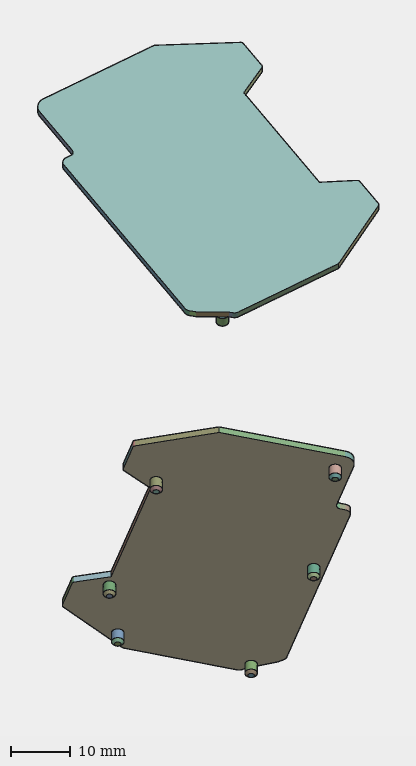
import cadquery as cq
import math

length = 57.1
width = 39.6
plate_thickness = 1.25
total_height = 3.7

flank_slope = math.tan(math.radians(60))
shoulder_y = 26.9
notch_floor_y = 33.85
notch_flank_run = 0.55
notch_half_width = 11.7
horn_radius = 0.5

step_x = 12.95
step_y = 2.9
left_corner_radius = 2.05
step_inner_radius = 0.85
step_outer_radius = 1.15
bevel_start_x = 52.15
lower_bevel = 1.15
bevel_end_y = 6.55
upper_bevel = 0.8
bevel_radius = 1.25

pin_diameter = 2.1
pin_tip_chamfer = 0.5
upper_pin_offset = 13.8
upper_pin_y = 33.5
middle_x = length / 2
pin_centers = [
    (3.3, 5.75),
    (middle_x, 2.1),
    (55.1, 5.2),
    (53.7, 28.8),
    (middle_x - upper_pin_offset, upper_pin_y),
    (middle_x + upper_pin_offset, upper_pin_y),
]

horn_outer_x = (width - shoulder_y) / flank_slope
notch_left_x = middle_x - notch_half_width
notch_right_x = middle_x + notch_half_width
horn_inner_x = notch_left_x - (width - notch_floor_y) * notch_flank_run


def round_corner(body, x, y, radius):
    """Round the vertical plate edge that stands at (x, y)."""
    edge = cq.selectors.NearestToPointSelector((x, y, -plate_thickness / 2))
    return body.edges("|Z").edges(edge).fillet(radius)


def make_plate():
    """Plate with its top face at Z = 0 and its lower left limit at the origin."""
    outline = [
        (0, step_y),
        (step_x, step_y),
        (step_x, 0),
        (bevel_start_x, 0),
        (bevel_start_x + lower_bevel, lower_bevel),
        (length - upper_bevel, bevel_end_y - upper_bevel),
        (length, bevel_end_y),
        (length, shoulder_y),
        (length - horn_outer_x, width),
        (length - horn_inner_x, width),
        (notch_right_x, notch_floor_y),
        (notch_left_x, notch_floor_y),
        (horn_inner_x, width),
        (horn_outer_x, width),
        (0, shoulder_y),
    ]
    plate = cq.Workplane("XY").polyline(outline).close().extrude(-plate_thickness)
    plate = round_corner(plate, 0, step_y, left_corner_radius)
    plate = round_corner(plate, step_x, step_y, step_inner_radius)
    plate = round_corner(plate, step_x, 0, step_outer_radius)
    plate = round_corner(plate, bevel_start_x, 0, bevel_radius)
    plate = round_corner(plate, length, bevel_end_y, bevel_radius)
    for x in (horn_outer_x, horn_inner_x, length - horn_inner_x, length - horn_outer_x):
        plate = round_corner(plate, x, width, horn_radius)
    return plate


def make_pins():
    """Round pins with chamfered tips, hanging from the plate's underside."""
    pins = cq.Workplane("XY").workplane(offset=-plate_thickness).pushPoints(pin_centers)
    pins = pins.circle(pin_diameter / 2).extrude(plate_thickness - total_height)
    return pins.faces("<Z").edges().chamfer(pin_tip_chamfer)


result = make_plate().union(make_pins())